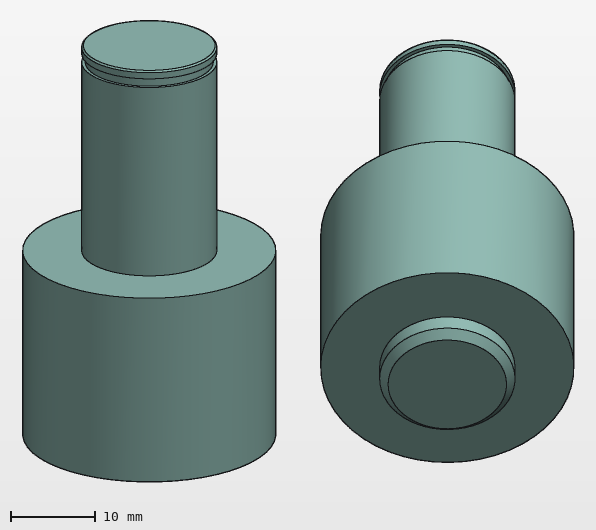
import cadquery as cq

total_height = 52.7
collar_bottom = 3.0
collar_height = 23.5

collar_diameter = 30.0
pin_diameter = 16.0
groove_diameter = 15.2

groove_width = 1.1
groove_top_land = 1.0

lead_in_height = 1.0
lead_in_depth = 1.0
top_chamfer = 0.2


def cylinder(diameter, bottom, height):
    """Solid cylinder on the Z axis, starting at the given height."""
    return cq.Workplane("XY").workplane(offset=bottom).circle(diameter / 2).extrude(height)


pin = cylinder(pin_diameter, 0, total_height)
pin = pin.faces("<Z").chamfer(lead_in_height, lead_in_depth)
pin = pin.faces(">Z").chamfer(top_chamfer)

groove_bottom = total_height - groove_top_land - groove_width
groove = cylinder(pin_diameter, groove_bottom, groove_width).cut(
    cylinder(groove_diameter, groove_bottom, groove_width)
)
pin = pin.cut(groove)

collar = cylinder(collar_diameter, collar_bottom, collar_height)

result = pin.union(collar)